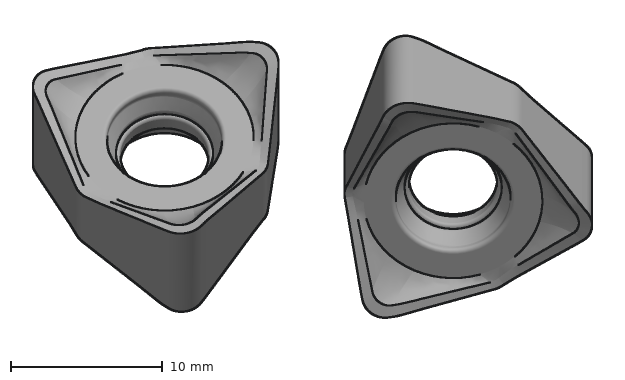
import cadquery as cq
import math


CORNER_COUNT = 3
PITCH = 360 / CORNER_COUNT
SHARP_AXIS = 103.6

SIDE_DISTANCE = 7.0
BLUNT_HALF_TURN = 15.2
CORNER_RADIUS = 1.65
WIPER_TURN = 1.5
WIPER_LENGTH = 0.5

LAND_SIDE_DISTANCE = 6.41
LAND_HALF_TURN = 17.0
LAND_SHARP_RADIUS = 1.22
LAND_BLUNT_RADIUS = 1.12
LAND_DROP = 0.25
LAND_BLUNT_DROP = 0.1

TOTAL_HEIGHT = 9.0
PEAK_HEIGHT = TOTAL_HEIGHT / 2
SHARP_HEIGHTS = (4.28, 4.41, 4.47, PEAK_HEIGHT, 4.45)
FALL_HEIGHT = 4.41
FALL_FRACTION = 0.07
BLUNT_HEIGHTS = (2.71, 2.66, 2.63)
RISE_HEIGHT = 2.95
RISE_FRACTION = 0.24
SLOPE_SHARES = (0.15, 0.5, 0.85)

SEAT_HEIGHT = 2.52
SEAT_RADIUS = 5.88
SEAT_SHARP_HALF_ARC = 10
SEAT_BLUNT_HALF_ARC = 7

HOLE_MOUTH_RADIUS = 4.07
MOUTH_ROUND = 0.29
MOUTH_DEPTH = 0.58
CONE_DEPTH = 0.98
THROAT_STEP_RADIUS = 3.2
THROAT_STEP_DEPTH = 0.29
THROAT_RADIUS = 2.9
THROAT_HALF_LENGTH = 0.46
CONE_BLEND = 0.24

WALL_SAG = 0.12

LAND_OVERRUN = 0.6
CUTTER_TOP = 6.41
PRISM_MARGIN = 0.32


def polar(radius, angle):
    """Plan position from a radius and an angle in degrees."""
    turn = math.radians(angle)
    return radius * math.cos(turn), radius * math.sin(turn)


def corner_points(axis, half_turn, distance, radius, heights):
    """Points round a corner whose two sides lie at `distance` from the hole axis."""
    centre_reach = (distance - radius) / math.cos(math.radians(half_turn))
    centre_x, centre_y = polar(centre_reach, axis)
    last = len(heights) - 1
    points = []
    for index, height in enumerate(heights):
        x, y = polar(radius, axis - half_turn + 2 * half_turn * index / last)
        points.append(cq.Vector(centre_x + x, centre_y + y, height))
    return points


def side_points(start, end, bend_fraction, bend_height):
    """Points along a side: a short bend at one end and a straight slope over the rest."""
    bend = start + (end - start) * bend_fraction
    bend.z = bend_height
    slope = [bend + (end - bend) * share for share in SLOPE_SHARES]
    return [start, bend, *slope, end]


def edge_loop(distance, blunt_half_turn, sharp_radius, blunt_radius, drop, blunt_drop):
    """Twelve point lists round the insert: sharp corner, falling side, blunt corner, rising side."""
    sharp_half_turn = PITCH / 2 - blunt_half_turn
    sharp_heights = [height - drop for height in SHARP_HEIGHTS]
    blunt_heights = [height - blunt_drop for height in BLUNT_HEIGHTS]
    corners = []
    for index in range(CORNER_COUNT):
        axis = SHARP_AXIS + PITCH * index
        sharp = corner_points(axis, sharp_half_turn, distance, sharp_radius, sharp_heights)
        blunt = corner_points(axis + PITCH / 2, blunt_half_turn, distance, blunt_radius, blunt_heights)
        corners.append((sharp, blunt))
    loop = []
    for index, (sharp, blunt) in enumerate(corners):
        next_sharp = corners[(index + 1) % CORNER_COUNT][0]
        loop.append(sharp)
        loop.append(side_points(sharp[-1], blunt[0], FALL_FRACTION, FALL_HEIGHT - drop))
        loop.append(blunt)
        loop.append(side_points(blunt[-1], next_sharp[0], RISE_FRACTION, RISE_HEIGHT - drop))
    return loop


def spline_edges(loop):
    """One smooth edge through each point list of a loop."""
    return [cq.Edge.makeSpline(points) for points in loop]


def seat_edges():
    """Twelve arcs of the seat circle, one facing each stretch of the land."""
    splits = []
    for index in range(CORNER_COUNT):
        axis = SHARP_AXIS + PITCH * index
        splits += [axis - SEAT_SHARP_HALF_ARC, axis + SEAT_SHARP_HALF_ARC]
        splits += [axis + PITCH / 2 - SEAT_BLUNT_HALF_ARC, axis + PITCH / 2 + SEAT_BLUNT_HALF_ARC]
    splits.append(splits[0] + PITCH * CORNER_COUNT)
    arcs = []
    for start, end in zip(splits, splits[1:]):
        stations = [polar(SEAT_RADIUS, angle) for angle in (start, (start + end) / 2, end)]
        arcs.append(cq.Edge.makeThreePointArc(*[cq.Vector(x, y, SEAT_HEIGHT) for x, y in stations]))
    return arcs


def ruled_faces(first_edges, second_edges):
    """Straight-ruled faces joining two loops edge by edge."""
    return [cq.Face.makeRuledSurface(a, b) for a, b in zip(first_edges, second_edges)]


def sagging_point(low, high, share):
    """Point between the seat and the land, lowered by a parabola so that the wall is hollow."""
    point = low + (high - low) * share
    parabola = 4 * share * (1 - share)
    point.z -= WALL_SAG * (high.z - low.z) * parabola
    return point


def concave_walls(seat_arcs, land_edges):
    """Hollow faces rising from the seat circle to the land."""
    walls = []
    ribs = []
    for arc, edge in zip(seat_arcs, land_edges):
        low, high = arc.startPoint(), edge.startPoint()
        ribs.append(cq.Edge.makeSpline([low, sagging_point(low, high, 0.5), high]))
    for index, (arc, edge) in enumerate(zip(seat_arcs, land_edges)):
        next_rib = ribs[(index + 1) % len(ribs)]
        stations = [(arc.positionAt(along), edge.positionAt(along)) for along in (0.25, 0.5, 0.75)]
        hollow = [sagging_point(low, high, share) for low, high in stations for share in (0.3, 0.6)]
        walls.append(cq.Face.makeNSidedSurface([arc, next_rib, edge, ribs[index]], hollow))
    return walls


def chip_breaker_cutter():
    """Everything above the seat, the chip-breaker wall and the land of the upper face."""
    rim = edge_loop(SIDE_DISTANCE, BLUNT_HALF_TURN, CORNER_RADIUS, CORNER_RADIUS, 0, 0)
    land = edge_loop(LAND_SIDE_DISTANCE, LAND_HALF_TURN, LAND_SHARP_RADIUS, LAND_BLUNT_RADIUS,
                     LAND_DROP, LAND_BLUNT_DROP)
    outer = [[high + (high - low) * LAND_OVERRUN for high, low in zip(rim_points, land_points)]
             for rim_points, land_points in zip(rim, land)]
    lid = [[cq.Vector(point.x, point.y, CUTTER_TOP) for point in points] for points in outer]
    seat_arcs = seat_edges()
    land_edges = spline_edges(land)
    outer_edges = spline_edges(outer)
    lid_edges = spline_edges(lid)
    faces = [cq.Face.makeFromWires(cq.Wire.assembleEdges(edges)) for edges in (seat_arcs, lid_edges)]
    faces += concave_walls(seat_arcs, land_edges)
    faces += ruled_faces(land_edges, outer_edges)
    faces += ruled_faces(outer_edges, lid_edges)
    return cq.Workplane(cq.Solid.makeSolid(cq.Shell.makeShell(faces)).fix())


def outline_prism():
    """Rounded six-sided prism with wiper flats, taller than the finished insert."""
    sharp_half_turn = PITCH / 2 - BLUNT_HALF_TURN
    reach = CORNER_RADIUS + (SIDE_DISTANCE - CORNER_RADIUS) / math.cos(math.radians(sharp_half_turn))
    arc_half_turn = sharp_half_turn - WIPER_TURN
    turn = math.radians(WIPER_TURN)
    arc_end_distance = SIDE_DISTANCE - WIPER_LENGTH * math.sin(turn)
    side_cosine = math.cos(math.radians(sharp_half_turn))
    arc_radius = (arc_end_distance - reach * side_cosine) / (math.cos(turn) - side_cosine)
    outline = cq.Workplane("XY")
    for index in range(CORNER_COUNT):
        axis = SHARP_AXIS + PITCH * index
        centre_x, centre_y = polar(reach - arc_radius, axis)
        arc = [(centre_x + x, centre_y + y)
               for x, y in (polar(arc_radius, axis + side * arc_half_turn) for side in (-1, 0, 1))]
        enter_x, enter_y = polar(WIPER_LENGTH, axis - arc_half_turn - 90)
        leave_x, leave_y = polar(WIPER_LENGTH, axis + arc_half_turn + 90)
        flat_start = (arc[0][0] + enter_x, arc[0][1] + enter_y)
        flat_end = (arc[2][0] + leave_x, arc[2][1] + leave_y)
        blunt = corner_points(axis + PITCH / 2, BLUNT_HALF_TURN, SIDE_DISTANCE, CORNER_RADIUS, (0, 0, 0))
        blunt = [(point.x, point.y) for point in blunt]
        outline = outline.moveTo(*flat_start) if index == 0 else outline.lineTo(*flat_start)
        outline = outline.lineTo(*arc[0]).threePointArc(*arc[1:]).lineTo(*flat_end)
        outline = outline.lineTo(*blunt[0]).threePointArc(*blunt[1:])
    return outline.close().extrude(PEAK_HEIGHT + PRISM_MARGIN, both=True)


def screw_hole():
    """Screw hole, the same from both seats: rounded mouth, cone, step and rounded throat."""
    mouth_wall = HOLE_MOUTH_RADIUS - MOUTH_ROUND
    cone_top = SEAT_HEIGHT - MOUTH_DEPTH
    cone_bottom = cone_top - CONE_DEPTH
    step_bottom = cone_bottom - THROAT_STEP_DEPTH
    mouth_bend = MOUTH_ROUND * (1 - math.sqrt(0.5))
    throat_round = THROAT_STEP_RADIUS - THROAT_RADIUS
    throat_rise = step_bottom - THROAT_HALF_LENGTH
    throat_bend = (THROAT_RADIUS + throat_round * (1 - math.sqrt(0.5)),
                   THROAT_HALF_LENGTH + throat_rise * math.sqrt(0.5))
    profile = (
        cq.Workplane("XZ")
        .moveTo(0, -SEAT_HEIGHT)
        .lineTo(HOLE_MOUTH_RADIUS, -SEAT_HEIGHT)
        .threePointArc((mouth_wall + mouth_bend, mouth_bend - SEAT_HEIGHT),
                       (mouth_wall, MOUTH_ROUND - SEAT_HEIGHT))
        .lineTo(mouth_wall, -cone_top)
        .lineTo(THROAT_STEP_RADIUS, -cone_bottom)
        .lineTo(THROAT_STEP_RADIUS, -step_bottom)
        .threePointArc((throat_bend[0], -throat_bend[1]), (THROAT_RADIUS, -THROAT_HALF_LENGTH))
        .lineTo(THROAT_RADIUS, THROAT_HALF_LENGTH)
        .threePointArc(throat_bend, (THROAT_STEP_RADIUS, step_bottom))
        .lineTo(THROAT_STEP_RADIUS, cone_bottom)
        .lineTo(mouth_wall, cone_top)
        .lineTo(mouth_wall, SEAT_HEIGHT - MOUTH_ROUND)
        .threePointArc((mouth_wall + mouth_bend, SEAT_HEIGHT - mouth_bend),
                       (HOLE_MOUTH_RADIUS, SEAT_HEIGHT))
        .lineTo(0, SEAT_HEIGHT)
        .close()
    )
    hole = profile.revolve(360, (0, 0, 0), (0, 1, 0))
    cone_ends = [
        edge for edge in hole.edges("%CIRCLE").vals()
        if round(abs(edge.Center().z), 3) in (round(cone_top, 3), round(cone_bottom, 3))
    ]
    return hole.newObject(cone_ends).fillet(CONE_BLEND)


upper_cutter = chip_breaker_cutter()
lower_cutter = upper_cutter.rotate((0, 0, 0), (*polar(1, SHARP_AXIS), 0), 180)
result = outline_prism().cut(upper_cutter).cut(lower_cutter).cut(screw_hole())